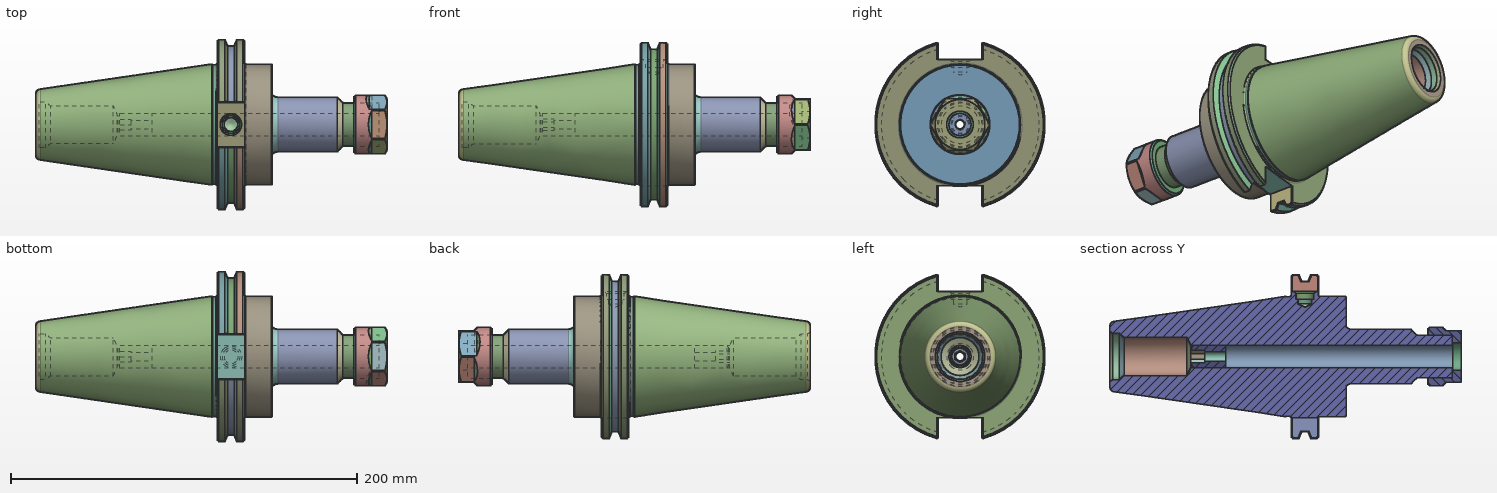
import cadquery as cq
import math

TOTAL_LENGTH = 203.2

TAPER_LENGTH = 101.5
GAUGE_DIA = 70.0
TAPER_RATE = 7 / 24
END_FILLET = 3.0
RELIEF_DIA = 69.3
RELIEF_STEP = 0.6

FLANGE_START = 104.9
FLANGE_WIDTH = 15.8
FLANGE_DIA = 98.3
FLANGE_CHAMFER = 1.0
FLANGE_FILLET = 0.8
GROOVE_CENTER = 112.8
GROOVE_MOUTH = 7.0
GROOVE_FLOOR = 3.7
GROOVE_FLOOR_DIA = 91.0

SLOT_WIDTH = 25.5
SLOT_CHAMFER = 0.6
SELECTION_MARGIN = 0.02
FLOOR_CLEARANCE = 1.0
UPPER_SLOT_FLOOR = 37.5
LOWER_SLOT_FLOOR = 35.4

SIDE_HOLE_DIA = 10.2
SIDE_HOLE_MOUTH_DIA = 12.4
SIDE_HOLE_DEPTH = 4.5
SIDE_DRILL_DIA = 8.0
SIDE_DRILL_DEPTH = 7.1
DRILL_POINT_ANGLE = 130.0

COLLAR_DIA = GAUGE_DIA
COLLAR_END = 136.8
COLLAR_CHAMFER = 0.6
NECK_DIA = 31.7
NECK_END = 174.1
NECK_FILLET_RADIUS = 4.0
NECK_FILLET_LENGTH = 3.0
NOSE_DIA = 25.0

PILOT_DIA = 26.5
PILOT_MOUTH_DIA = 28.7
PILOT_MOUTH_ANGLE = 60.0
PILOT_DEPTH = 5.7
PILOT_CONE_LENGTH = 2.6
DRAWBAR_DIA = 22.0
DRAWBAR_DEPTH = 44.7
SCREW_DIA = 12.8

NUT_START = 183.9
NUT_DIA = 34.0
NUT_REAR_BEVEL = 1.0
NUT_FACE_DIA = 28.9
NUT_FACE_ANGLE = 30.0
NUT_LIP = 5.0
NUT_OPENING_DIA = 15.5
HEX_ACROSS_FLATS = 29.9
FLAT_START = 194.3
LONG_FLAT_START = 192.8
FLAT_ANGLES = [0, 60, 120, 180, 240, 300]
LONG_FLAT_ANGLE = 60
CUTTER_OVERSHOOT = 2.0

SCREW_LENGTH = 20.3
SCREW_END_DIA = 10.8
SCREW_PILOT_DIA = 9.5
SCREW_PILOT_HEIGHT = 0.6
SOCKET_ACROSS_FLATS = 5.9
SOCKET_DEPTH = 8.1
SCREW_HOLE_DIA = 5.0

FLANGE_END = FLANGE_START + FLANGE_WIDTH
NOSE_END = TOTAL_LENGTH - NUT_LIP


def cone_depth(large_dia, small_dia, full_angle):
    """Axial length of a cone of the given full angle between two diameters."""
    return (large_dia - small_dia) / 2 / math.tan(math.radians(full_angle / 2))


SCREW_START = DRAWBAR_DEPTH + cone_depth(DRAWBAR_DIA, SCREW_DIA, DRILL_POINT_ANGLE)


def turned(outline):
    """Solid of revolution about X of a closed outline drawn in (x, radius)."""
    return outline.close().revolve(360, (0, 0, 0), (1, 0, 0))


def taper_shank():
    small_dia = GAUGE_DIA - TAPER_LENGTH * TAPER_RATE
    taper = turned(
        cq.Workplane("XY")
        .lineTo(0, small_dia / 2)
        .lineTo(TAPER_LENGTH, GAUGE_DIA / 2)
        .lineTo(TAPER_LENGTH, 0)
    )
    return taper.faces("<X").edges().fillet(END_FILLET)


def turned_body():
    """Everything of the holder in front of the gauge line, without holes or slots."""
    relief = RELIEF_DIA / 2
    flange = FLANGE_DIA / 2
    groove = GROOVE_FLOOR_DIA / 2
    collar = COLLAR_DIA / 2
    neck = NECK_DIA / 2
    nose = NOSE_DIA / 2
    fillet_rise = NECK_FILLET_RADIUS - math.sqrt(NECK_FILLET_RADIUS**2 - NECK_FILLET_LENGTH**2)
    return turned(
        cq.Workplane("XY")
        .moveTo(TAPER_LENGTH, 0)
        .lineTo(TAPER_LENGTH, GAUGE_DIA / 2)
        .lineTo(TAPER_LENGTH + RELIEF_STEP, relief)
        .lineTo(FLANGE_START - FLANGE_FILLET, relief)
        .radiusArc((FLANGE_START, relief + FLANGE_FILLET), -FLANGE_FILLET)
        .lineTo(FLANGE_START, flange - FLANGE_CHAMFER)
        .lineTo(FLANGE_START + FLANGE_CHAMFER, flange)
        .lineTo(GROOVE_CENTER - GROOVE_MOUTH / 2, flange)
        .lineTo(GROOVE_CENTER - GROOVE_FLOOR / 2, groove)
        .lineTo(GROOVE_CENTER + GROOVE_FLOOR / 2, groove)
        .lineTo(GROOVE_CENTER + GROOVE_MOUTH / 2, flange)
        .lineTo(FLANGE_END - FLANGE_CHAMFER, flange)
        .lineTo(FLANGE_END, flange - FLANGE_CHAMFER)
        .lineTo(FLANGE_END, collar + FLANGE_FILLET)
        .radiusArc((FLANGE_END + FLANGE_FILLET, collar), -FLANGE_FILLET)
        .lineTo(COLLAR_END - COLLAR_CHAMFER, collar)
        .lineTo(COLLAR_END, collar - COLLAR_CHAMFER)
        .lineTo(COLLAR_END, neck + fillet_rise)
        .radiusArc((COLLAR_END + NECK_FILLET_LENGTH, neck), -NECK_FILLET_RADIUS)
        .lineTo(NECK_END, neck)
        .lineTo(NECK_END + neck - nose, nose)
        .lineTo(NOSE_END, nose)
        .lineTo(NOSE_END, 0)
    )


def axial_bore():
    pilot = PILOT_DIA / 2
    mouth = PILOT_MOUTH_DIA / 2
    mouth_depth = cone_depth(PILOT_MOUTH_DIA, PILOT_DIA, PILOT_MOUTH_ANGLE)
    cone_end = PILOT_DEPTH + PILOT_CONE_LENGTH
    return turned(
        cq.Workplane("XY")
        .lineTo(0, mouth)
        .lineTo(mouth_depth, pilot)
        .lineTo(PILOT_DEPTH, pilot)
        .lineTo(cone_end, DRAWBAR_DIA / 2)
        .lineTo(DRAWBAR_DEPTH, DRAWBAR_DIA / 2)
        .lineTo(SCREW_START, SCREW_DIA / 2)
        .lineTo(NOSE_END, SCREW_DIA / 2)
        .lineTo(NOSE_END, 0)
    )


def drive_slot(floor, side):
    """Slot through the flange above (side = 1) or below (side = -1) the axis."""
    height = FLANGE_DIA / 2 - floor
    middle = FLANGE_START + FLANGE_WIDTH / 2
    slot = cq.Workplane("XY").box(FLANGE_WIDTH, SLOT_WIDTH, height, centered=(True, True, False))
    slot = slot.translate((middle, 0, floor))
    if side < 0:
        slot = slot.mirror("XY")
    return slot


def chamfer_slot_walls(body):
    """Break every slot wall edge except the two where each wall meets a floor."""
    near_wall = SLOT_WIDTH / 2 + SELECTION_MARGIN
    half_height = FLANGE_DIA / 2
    for floor, top in ((UPPER_SLOT_FLOOR, half_height), (-half_height, -LOWER_SLOT_FLOOR)):
        slot_box = cq.selectors.BoxSelector(
            (FLANGE_START - SELECTION_MARGIN, -near_wall, floor + FLOOR_CLEARANCE),
            (FLANGE_END + SELECTION_MARGIN, near_wall, top - FLOOR_CLEARANCE),
        )
        body = body.edges(slot_box).chamfer(SLOT_CHAMFER)
    return body


def side_hole():
    """Cutter standing on Z: chamfered bore, drilled core and drill point."""
    mouth = SIDE_HOLE_MOUTH_DIA / 2
    bore = SIDE_HOLE_DIA / 2
    drill = SIDE_DRILL_DIA / 2
    tip_depth = SIDE_DRILL_DEPTH + cone_depth(SIDE_DRILL_DIA, 0, DRILL_POINT_ANGLE)
    cutter = (
        cq.Workplane("XZ")
        .lineTo(mouth, 0)
        .lineTo(bore, bore - mouth)
        .lineTo(bore, -SIDE_HOLE_DEPTH)
        .lineTo(drill, -SIDE_HOLE_DEPTH)
        .lineTo(drill, -SIDE_DRILL_DEPTH)
        .lineTo(0, -tip_depth)
        .close()
        .revolve(360, (0, 0, 0), (0, 1, 0))
    )
    return cutter.translate((GROOVE_CENTER, 0, UPPER_SLOT_FLOOR))


def make_holder():
    body = taper_shank().union(turned_body())
    body = body.cut(drive_slot(UPPER_SLOT_FLOOR, 1)).cut(drive_slot(LOWER_SLOT_FLOOR, -1))
    body = chamfer_slot_walls(body)
    return body.cut(side_hole()).cut(axial_bore())


def flat_cutter(start, angle):
    """Cutter for one spanner flat, whose rear end runs out at 45 degrees."""
    flat = HEX_ACROSS_FLATS / 2
    top = NUT_DIA / 2 + CUTTER_OVERSHOOT
    cutter = (
        cq.Workplane("XZ")
        .moveTo(start, flat)
        .lineTo(TOTAL_LENGTH, flat)
        .lineTo(TOTAL_LENGTH, top)
        .lineTo(start + flat - top, top)
        .close()
        .extrude(NUT_DIA / 2, both=True)
    )
    return cutter.rotate((0, 0, 0), (1, 0, 0), -angle)


def make_nut():
    radius = NUT_DIA / 2
    face = NUT_FACE_DIA / 2
    face_bevel = (radius - face) * math.tan(math.radians(NUT_FACE_ANGLE))
    nut = turned(
        cq.Workplane("XY")
        .moveTo(NUT_START, NOSE_DIA / 2)
        .lineTo(NUT_START, radius - NUT_REAR_BEVEL)
        .lineTo(NUT_START + NUT_REAR_BEVEL, radius)
        .lineTo(TOTAL_LENGTH - face_bevel, radius)
        .lineTo(TOTAL_LENGTH, face)
        .lineTo(TOTAL_LENGTH, NUT_OPENING_DIA / 2)
        .lineTo(NOSE_END, NUT_OPENING_DIA / 2)
        .lineTo(NOSE_END, NOSE_DIA / 2)
    )
    for angle in FLAT_ANGLES:
        start = LONG_FLAT_START if angle == LONG_FLAT_ANGLE else FLAT_START
        nut = nut.cut(flat_cutter(start, angle))
    return nut


def make_screw():
    """Stop screw with a chamfered end, a low pilot on that end, a hexagon socket and a hole along its axis."""
    end_chamfer = (SCREW_DIA - SCREW_END_DIA) / 2
    shoulder = SCREW_START + SCREW_PILOT_HEIGHT
    screw_end = SCREW_START + SCREW_LENGTH
    screw = turned(
        cq.Workplane("XY")
        .moveTo(SCREW_START, SCREW_HOLE_DIA / 2)
        .lineTo(SCREW_START, SCREW_PILOT_DIA / 2)
        .lineTo(shoulder, SCREW_PILOT_DIA / 2)
        .lineTo(shoulder, SCREW_END_DIA / 2)
        .lineTo(shoulder + end_chamfer, SCREW_DIA / 2)
        .lineTo(screw_end, SCREW_DIA / 2)
        .lineTo(screw_end, SCREW_HOLE_DIA / 2)
    )
    across_corners = SOCKET_ACROSS_FLATS / math.cos(math.pi / 6)
    socket = cq.Workplane("YZ").polygon(6, across_corners).extrude(SOCKET_DEPTH)
    socket = socket.rotate((0, 0, 0), (1, 0, 0), 30).translate((SCREW_START, 0, 0))
    return screw.cut(socket)


holder = make_holder()
nut = make_nut()
stop_screw = make_screw()

result = cq.Compound.makeCompound([holder.val(), nut.val(), stop_screw.val()])